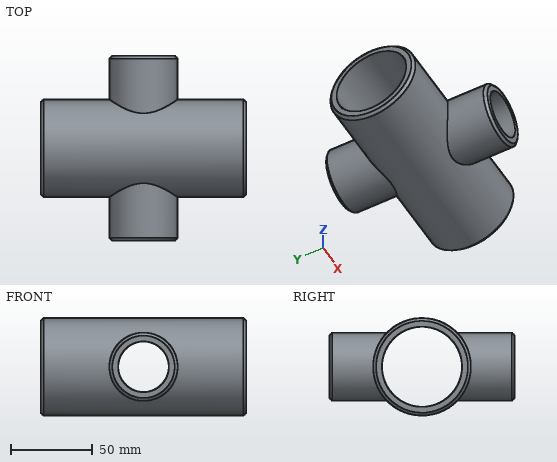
import cadquery as cq

run_length = 127.0
run_diameter = 60.33
branch_length = 114.3
branch_diameter = 42.16
wall = 5.54
end_chamfer = 1.85


def chamfered_bar(plane, diameter, length):
    """Solid round bar centred on the origin, chamfered at both ends."""
    bar = cq.Workplane(plane).circle(diameter / 2).extrude(length / 2, both=True)
    return bar.faces("%PLANE").edges().chamfer(end_chamfer)


def bore(plane, diameter, length):
    """Straight passage leaving the wall thickness inside the given pipe."""
    return cq.Workplane(plane).circle(diameter / 2 - wall).extrude(length / 2, both=True)


run = chamfered_bar("YZ", run_diameter, run_length)
branch = chamfered_bar("XZ", branch_diameter, branch_length)

result = (
    run.union(branch)
    .cut(bore("YZ", run_diameter, run_length))
    .cut(bore("XZ", branch_diameter, branch_length))
)